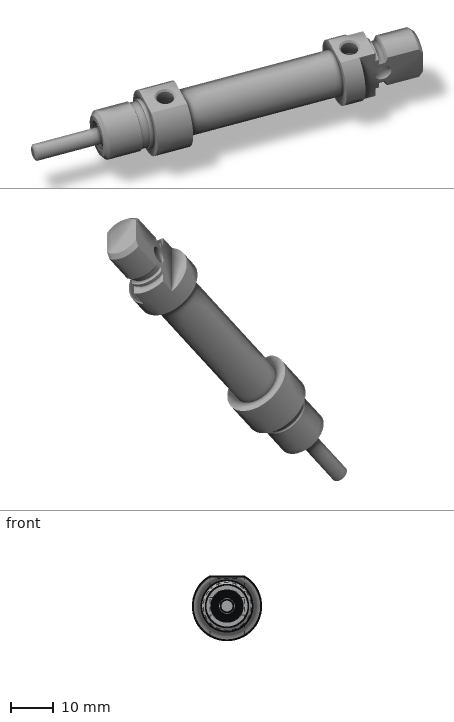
import cadquery as cq
import math

LENGTH = 96.0

ROD_DIAMETER = 4.0
ROD_TIP_DIAMETER = 3.0
ROD_TIP_LENGTH = 0.4

NOSE_Y = 16.0
THREAD_REAR_Y = 25.1
NECK_REAR_Y = 27.1
FRONT_FLANGE_Y = 28.0
FRONT_SHOULDER_Y = 37.0
BARREL_FRONT_Y = 38.4
BARREL_REAR_Y = 73.9
REAR_FLANGE_Y = 75.4
TONGUE_FRONT_Y = 80.1
REAR_FLANGE_END_Y = 84.1

BARREL_DIAMETER = 11.2
FLANGE_DIAMETER = 16.0
THREAD_DIAMETER = 12.0
THREAD_CORE_DIAMETER = 10.0
FLAT_WIDTH = 8.0

NOSE_CHAMFER_LENGTH = 0.9
THREAD_RELIEF_LENGTH = 0.2
FRONT_PORT_Y = 33.0

WIPER_MOUTH_DIAMETER = 7.4
WIPER_SEAT_DIAMETER = 6.7
WIPER_RING_OUTER_DIAMETER = 6.5
WIPER_RING_INNER_DIAMETER = 6.0
WIPER_GROOVE_DIAMETER = 5.3
WIPER_LIP_OUTER_DIAMETER = 4.7
WIPER_LIP_CREST_DIAMETER = 4.4
WIPER_CREST_DEPTH = 0.4
WIPER_FLOOR_DEPTH = 0.8

COLLAR_LENGTH = 0.9
GROOVE_FRONT_Y = REAR_FLANGE_END_Y + COLLAR_LENGTH
GROOVE_FLOOR_END_Y = 86.6
GROOVE_REAR_Y = 87.2
REAR_CHAMFER = (THREAD_DIAMETER - THREAD_CORE_DIAMETER) / 2
REAR_PORT_Y = 79.1
PIVOT_HOLE_Y = 86.0
PIVOT_HOLE_DIAMETER = 4.1

PORT_DIAMETER = 4.1
PORT_MOUTH_DIAMETER = 5.0
PORT_CHAMFER = (PORT_MOUTH_DIAMETER - PORT_DIAMETER) / 2
REAR_PORT_DEPTH = 3.8
PORT_TIP_ANGLE = 120.0

flange_radius = FLANGE_DIAMETER / 2
flat_height = math.sqrt(flange_radius**2 - (FLAT_WIDTH / 2) ** 2)


def turned(outline):
    """Revolve (radius, y) points about the Y axis; the outline closes along the axis."""
    points = [(y, radius) for radius, y in [(0, outline[0][1]), *outline, (0, outline[-1][1])]]
    return cq.Workplane("YZ").polyline(points).close().revolve(360, (0, 0, 0), (1, 0, 0))


def cylinder_along_y(diameter, start, end):
    return turned([(diameter / 2, start), (diameter / 2, end)])


def top_flat_cutter(start, end):
    """The material above the flat on top of a flange."""
    height = flange_radius - flat_height
    base = cq.Workplane("XY", origin=(0, (start + end) / 2, flat_height))
    return base.box(FLANGE_DIAMETER, end - start, height, centered=(True, True, False))


def port_cutter(y, bottom_outline):
    """A chamfered air port drilled down from the flat; (radius, z) points give its lower end."""
    outline = [
        (0, flat_height),
        (PORT_MOUTH_DIAMETER / 2, flat_height),
        (PORT_DIAMETER / 2, flat_height - PORT_CHAMFER),
        *bottom_outline,
    ]
    profile = cq.Workplane("XZ").polyline(outline).close()
    return profile.revolve(360, (0, 0, 0), (0, 1, 0)).translate((0, y, 0))


def make_piston_rod():
    radius = ROD_DIAMETER / 2
    return turned([(ROD_TIP_DIAMETER / 2, 0), (radius, ROD_TIP_LENGTH), (radius, BARREL_FRONT_Y)])


def make_barrel():
    return cylinder_along_y(BARREL_DIAMETER, BARREL_FRONT_Y, BARREL_REAR_Y)


def wiper_cutter():
    """The space in front of the wiper face, from its conical mouth to its ring, groove and lip."""
    crest = NOSE_Y + WIPER_CREST_DEPTH
    floor = NOSE_Y + WIPER_FLOOR_DEPTH
    return turned([
        (WIPER_MOUTH_DIAMETER / 2, NOSE_Y),
        (WIPER_SEAT_DIAMETER / 2, crest),
        (WIPER_SEAT_DIAMETER / 2, floor),
        (WIPER_RING_OUTER_DIAMETER / 2, floor),
        (WIPER_RING_OUTER_DIAMETER / 2, crest),
        (WIPER_RING_INNER_DIAMETER / 2, crest),
        (WIPER_GROOVE_DIAMETER / 2, floor),
        (WIPER_LIP_OUTER_DIAMETER / 2, crest),
        (WIPER_LIP_CREST_DIAMETER / 2, crest),
        (ROD_DIAMETER / 2, floor),
    ])


def make_front_head():
    thread = THREAD_DIAMETER / 2
    neck = BARREL_DIAMETER / 2
    body = turned([
        (THREAD_CORE_DIAMETER / 2, NOSE_Y),
        (thread, NOSE_Y + NOSE_CHAMFER_LENGTH),
        (thread, THREAD_REAR_Y),
        (neck, THREAD_REAR_Y + THREAD_RELIEF_LENGTH),
        (neck, NECK_REAR_Y),
        (thread, NECK_REAR_Y),
        (thread, FRONT_FLANGE_Y),
        (flange_radius, FRONT_FLANGE_Y),
        (flange_radius, FRONT_SHOULDER_Y),
        (neck, FRONT_SHOULDER_Y),
        (neck, BARREL_FRONT_Y),
    ])
    port = port_cutter(FRONT_PORT_Y, [(PORT_DIAMETER / 2, 0), (0, 0)])
    return (
        body.cut(top_flat_cutter(FRONT_FLANGE_Y, FRONT_SHOULDER_Y))
        .cut(cylinder_along_y(ROD_DIAMETER, NOSE_Y, BARREL_FRONT_Y))
        .cut(wiper_cutter())
        .cut(port)
    )


def make_rear_head():
    thread = THREAD_DIAMETER / 2
    core = THREAD_CORE_DIAMETER / 2
    neck = BARREL_DIAMETER / 2
    body = turned([
        (neck, BARREL_REAR_Y),
        (neck, REAR_FLANGE_Y),
        (flange_radius, REAR_FLANGE_Y),
        (flange_radius, REAR_FLANGE_END_Y),
        (thread, REAR_FLANGE_END_Y),
        (thread, GROOVE_FRONT_Y),
        (core, GROOVE_FRONT_Y),
        (core, GROOVE_FLOOR_END_Y),
        (thread, GROOVE_REAR_Y),
        (thread, LENGTH - REAR_CHAMFER),
        (core, LENGTH),
    ])
    tongue_length = LENGTH - TONGUE_FRONT_Y
    for side in (-1, 1):
        cheek = cq.Workplane("XY").box(FLANGE_DIAMETER, tongue_length, FLANGE_DIAMETER)
        x = side * (FLAT_WIDTH + FLANGE_DIAMETER) / 2
        body = body.cut(cheek.translate((x, TONGUE_FRONT_Y + tongue_length / 2, 0)))
    pivot_hole = (
        cq.Workplane("YZ")
        .center(PIVOT_HOLE_Y, 0)
        .circle(PIVOT_HOLE_DIAMETER / 2)
        .extrude(FLAT_WIDTH, both=True)
    )
    bottom = flat_height - REAR_PORT_DEPTH
    tip_length = PORT_DIAMETER / 2 / math.tan(math.radians(PORT_TIP_ANGLE / 2))
    port = port_cutter(REAR_PORT_Y, [(PORT_DIAMETER / 2, bottom), (0, bottom - tip_length)])
    return body.cut(top_flat_cutter(REAR_FLANGE_Y, REAR_FLANGE_END_Y)).cut(pivot_hole).cut(port)


piston_rod = make_piston_rod()
barrel = make_barrel()
front_head = make_front_head()
rear_head = make_rear_head()

result = cq.Compound.makeCompound([piston_rod.val(), barrel.val(), front_head.val(), rear_head.val()])